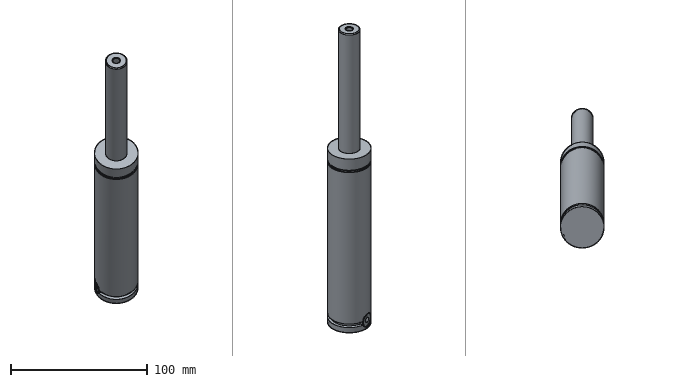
import cadquery as cq
import math

total_length = 250.0
body_diameter = 32.0
body_top = 148.2

rod_diameter = 16.0
rod_chamfer = 0.8
rod_bore_diameter = 5.0
rod_bore_depth = 10.0
rod_countersink = 0.5
drill_point_angle = 118

base_flange_height = 4.5
base_groove_height = 3.0
base_groove_diameter = 27.0

collar_height = 10.0
collar_groove_height = 1.5
collar_groove_depth = 0.8

valve_height = 6.2
valve_diameter = 11.0
valve_chamfer = 0.5
valve_face_distance = 15.2
valve_bore_diameter = 4.0
valve_bore_depth = 2.5


def disc(diameter, bottom, height):
    """Solid cylinder on the body axis."""
    return cq.Workplane("XY").workplane(offset=bottom).circle(diameter / 2).extrude(height)


def ring_groove(floor_diameter, bottom, height):
    """Ring that removes the body outside the groove floor."""
    return disc(body_diameter, bottom, height).cut(disc(floor_diameter, bottom, height))


def make_rod_bore():
    """Countersunk blind bore with a conical drill point, revolved about Z."""
    bore_radius = rod_bore_diameter / 2
    bore_bottom = total_length - rod_bore_depth
    point_height = bore_radius / math.tan(math.radians(drill_point_angle / 2))
    profile = [
        (0, total_length),
        (bore_radius + rod_countersink, total_length),
        (bore_radius, total_length - rod_countersink),
        (bore_radius, bore_bottom),
        (0, bore_bottom - point_height),
    ]
    return cq.Workplane("XZ").polyline(profile).close().revolve(360, (0, 0), (0, 1))


def make_rod():
    rod = disc(rod_diameter, body_top, total_length - body_top)
    return rod.faces(">Z").chamfer(rod_chamfer).cut(make_rod_bore())


def make_body():
    body = disc(body_diameter, 0, body_top)
    body = body.cut(ring_groove(base_groove_diameter, base_flange_height, base_groove_height))
    collar_groove_diameter = body_diameter - 2 * collar_groove_depth
    collar_groove_bottom = body_top - collar_height - collar_groove_height
    return body.cut(ring_groove(collar_groove_diameter, collar_groove_bottom, collar_groove_height))


def valve_cylinder(diameter, inner_distance, outer_distance):
    """Cylinder along -Y, between two distances from the body axis."""
    valve_plane = cq.Workplane("XZ", origin=(0, -inner_distance, valve_height))
    return valve_plane.circle(diameter / 2).extrude(outer_distance - inner_distance)


def add_valve(body):
    pocket = valve_cylinder(valve_diameter, 0, body_diameter / 2)
    plug = valve_cylinder(valve_diameter, 0, valve_face_distance).faces("<Y").chamfer(valve_chamfer)
    bore = valve_cylinder(valve_bore_diameter, valve_face_distance - valve_bore_depth, valve_face_distance)
    return body.cut(pocket).union(plug).cut(bore)


result = add_valve(make_body()).union(make_rod())